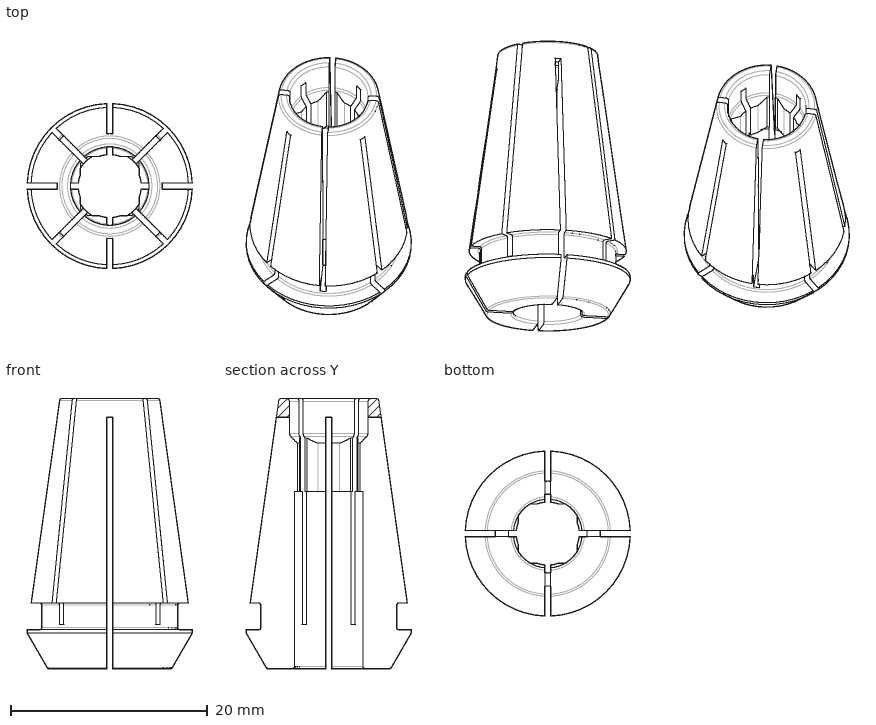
import cadquery as cq
import math


LENGTH = 27.5
FLANGE_RADIUS = 16.8 / 2
FLANGE_TOP_Z = 4.0
FLANGE_RIM_HEIGHT = 0.35
NOSE_ANGLE = math.radians(30)
GROOVE_RADIUS = 6.93
TAPER_BOTTOM_Z = 6.68
TAPER_BOTTOM_RADIUS = 8.0
TAPER_ANGLE = math.radians(8)
EDGE_FILLET = 0.25
MOUTH_FILLET = 0.3
GROOVE_FILLET = 0.2

SHANK_RADIUS = 3.5
SHANK_DEPTH = 18.0
SQUARE_WIDTH = 6.0
SQUARE_CORNER_RADIUS = 3.75
DRIVE_HOLE_RADIUS = 3.2
RELIEF_RADIUS = 4.0
RELIEF_FLOOR_Z = 23.73
RELIEF_FILLET = 0.4

SLOT_WIDTH = 0.6
LOWER_SLOT_TOP_Z = 25.58
UPPER_SLOT_FLOOR_Z = 4.5

FLANGE_RIM_Z = FLANGE_TOP_Z - FLANGE_RIM_HEIGHT
NOSE_RADIUS = FLANGE_RADIUS - FLANGE_RIM_Z * math.tan(NOSE_ANGLE)
TAPER_TOP_RADIUS = TAPER_BOTTOM_RADIUS - (LENGTH - TAPER_BOTTOM_Z) * math.tan(TAPER_ANGLE)
RELIEF_CONE_BOTTOM_Z = RELIEF_FLOOR_Z - (RELIEF_RADIUS - DRIVE_HOLE_RADIUS)


def revolved(points):
    """Solid of revolution about Z from (radius, z) points."""
    return cq.Workplane("XZ").polyline(points).close().revolve(360, (0, 0), (0, 1))


def rings(body, radius, z):
    """Circular edges of the body with the given radius and height."""
    edges = [
        edge
        for edge in body.edges("%CIRCLE").vals()
        if abs(edge.radius() - radius) < 2.75e-05 and abs(edge.Center().z - z) < 2.75e-05
    ]
    return body.newObject(edges)


def turned_body():
    """Turned blank with the round holes and all rounded edges."""
    body = revolved([
        (SHANK_RADIUS, 0),
        (NOSE_RADIUS, 0),
        (FLANGE_RADIUS, FLANGE_RIM_Z),
        (FLANGE_RADIUS, FLANGE_TOP_Z),
        (GROOVE_RADIUS, FLANGE_TOP_Z),
        (GROOVE_RADIUS, TAPER_BOTTOM_Z),
        (TAPER_BOTTOM_RADIUS, TAPER_BOTTOM_Z),
        (TAPER_TOP_RADIUS, LENGTH),
        (RELIEF_RADIUS, LENGTH),
        (RELIEF_RADIUS, RELIEF_FLOOR_Z),
        (DRIVE_HOLE_RADIUS, RELIEF_CONE_BOTTOM_Z),
        (DRIVE_HOLE_RADIUS, SHANK_DEPTH),
        (SHANK_RADIUS, SHANK_DEPTH),
    ])
    rounded_rings = [
        (SHANK_RADIUS, 0, EDGE_FILLET),
        (NOSE_RADIUS, 0, EDGE_FILLET),
        (GROOVE_RADIUS, FLANGE_TOP_Z, GROOVE_FILLET),
        (GROOVE_RADIUS, TAPER_BOTTOM_Z, GROOVE_FILLET),
        (TAPER_TOP_RADIUS, LENGTH, EDGE_FILLET),
        (RELIEF_RADIUS, LENGTH, MOUTH_FILLET),
        (RELIEF_RADIUS, RELIEF_FLOOR_Z, RELIEF_FILLET),
    ]
    for radius, z, fillet in rounded_rings:
        body = rings(body, radius, z).fillet(fillet)
    return body


def square_drive():
    """Square drive cutter with its corners turned off round."""
    height = RELIEF_FLOOR_Z - SHANK_DEPTH
    base = cq.Workplane("XY").workplane(offset=SHANK_DEPTH)
    square = base.rect(SQUARE_WIDTH, SQUARE_WIDTH).extrude(height)
    return square.intersect(base.circle(SQUARE_CORNER_RADIUS).extrude(height))


def crossed_slots(bottom_z, top_z, angle):
    """Two perpendicular slot cutters through the axis, turned by the angle in degrees."""
    base = cq.Workplane("XY").workplane(offset=bottom_z)
    span = 2 * FLANGE_RADIUS + SLOT_WIDTH
    height = top_z - bottom_z
    cross = base.rect(span, SLOT_WIDTH).extrude(height)
    cross = cross.union(base.rect(SLOT_WIDTH, span).extrude(height))
    return cross.rotate((0, 0, 0), (0, 0, 1), angle)


result = (
    turned_body()
    .cut(square_drive())
    .cut(crossed_slots(0, LOWER_SLOT_TOP_Z, 0))
    .cut(crossed_slots(UPPER_SLOT_FLOOR_Z, LENGTH, 45))
)